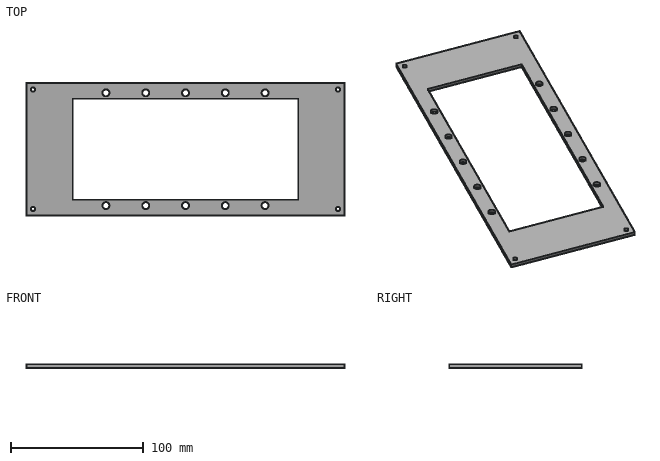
import cadquery as cq

plate_length = 240.0
plate_width = 100.0
plate_thickness = 3.0

window_length = 170.0
window_width = 76.0

corner_hole_diameter = 3.1
corner_hole_inset = 5.0
corner_spacing_x = plate_length - 2 * corner_hole_inset
corner_spacing_y = plate_width - 2 * corner_hole_inset

row_hole_diameter = 5.1
row_hole_count = 5
row_hole_pitch = 30.0
row_edge_distance = 7.5
row_spacing_y = plate_width - 2 * row_edge_distance


def make_plate():
    """Flat plate centred on the Z axis, resting on Z = 0."""
    return cq.Workplane("XY").box(
        plate_length, plate_width, plate_thickness, centered=(True, True, False)
    )


def cut_window(body):
    """Cut the sharp-cornered window through the plate."""
    return body.faces(">Z").workplane().rect(window_length, window_width).cutThruAll()


def drill_grid(body, spacing_x, spacing_y, count_x, count_y, diameter):
    """Drill a centred rectangular grid of through holes."""
    return (
        body.faces(">Z")
        .workplane(origin=(0, 0, plate_thickness))
        .rarray(spacing_x, spacing_y, count_x, count_y)
        .hole(diameter)
    )


result = make_plate()
result = cut_window(result)
result = drill_grid(result, corner_spacing_x, corner_spacing_y, 2, 2, corner_hole_diameter)
result = drill_grid(result, row_hole_pitch, row_spacing_y, row_hole_count, 2, row_hole_diameter)